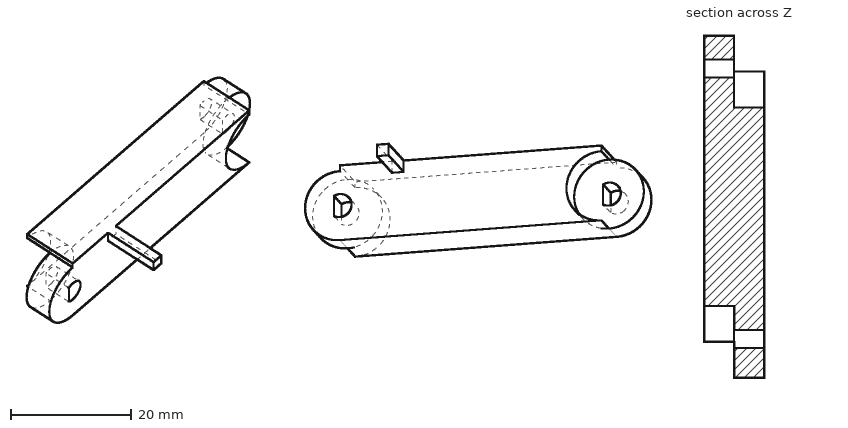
import cadquery as cq

pivot_spacing = 45.0
knuckle_radius = 6.0
link_width = 10.0
lap_width = link_width / 2
top_plate_height = 1.0
bore_diameter = 4.0
bore_flat_offset = 1.0
pin_length = 10.0
pin_size = 2.0
pin_start_y = 9.0

top_z = knuckle_radius + top_plate_height
front_pivot_y = 0.0
rear_pivot_y = pivot_spacing
inner_side_x = 0.0
outer_side_x = lap_width


def x_cylinder(radius, start_x, length, pivot_y):
    """Cylinder along X centred on a pivot axis."""
    return cq.Workplane("YZ", origin=(start_x, pivot_y, 0)).circle(radius).extrude(length)


def make_body():
    """Bar between the pivot axes, including the flat top plate."""
    body_height = top_z + knuckle_radius
    return cq.Workplane("XY", origin=(0, 0, -knuckle_radius)).box(
        link_width, pivot_spacing, body_height, centered=False
    )


def make_d_bore(pivot_y):
    """Round bore through the full width, cut off by a flat on its -Y side."""
    bore = x_cylinder(bore_diameter / 2, 0, link_width, pivot_y)
    keep = cq.Workplane("XY", origin=(0, pivot_y - bore_flat_offset, -bore_diameter / 2)).box(
        link_width, bore_diameter, bore_diameter, centered=False
    )
    return bore.intersect(keep)


def make_pin():
    """Square pin standing out of the +X side, flush with the top."""
    return cq.Workplane("XY", origin=(link_width, pin_start_y, top_z - pin_size)).box(
        pin_length, pin_size, pin_size, centered=False
    )


result = make_body()

for pivot_y, knuckle_x, clearance_x in (
    (front_pivot_y, outer_side_x, inner_side_x),
    (rear_pivot_y, inner_side_x, outer_side_x),
):
    result = result.union(x_cylinder(knuckle_radius, knuckle_x, lap_width, pivot_y))
    result = result.cut(x_cylinder(knuckle_radius, clearance_x, lap_width, pivot_y))
    result = result.cut(make_d_bore(pivot_y))

result = result.union(make_pin())